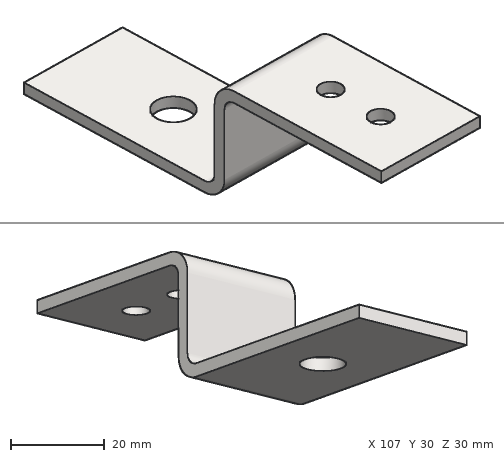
import cadquery as cq

length = 107.0
width = 30.0
height = 30.0

thickness = 3.0
inner_radius = 3.0
outer_radius = inner_radius + thickness
web_right = 60.0
web_left = web_right - thickness

large_hole_diameter = 10.0
large_hole_x = 30.0
small_hole_diameter = 6.0
small_hole_spacing = 15.0
small_hole_end_distance = 15.0


def bent_strip():
    """Z-shaped strip with sharp corners, then rounded at both bends."""
    strip = (
        cq.Workplane("XZ")
        .moveTo(0, 0)
        .lineTo(web_right, 0)
        .lineTo(web_right, height - thickness)
        .lineTo(length, height - thickness)
        .lineTo(length, height)
        .lineTo(web_left, height)
        .lineTo(web_left, thickness)
        .lineTo(0, thickness)
        .close()
        .extrude(width / 2, both=True)
    )
    outer_corners = [(web_right, 0), (web_left, height)]
    inner_corners = [(web_right, height - thickness), (web_left, thickness)]
    for corners, radius in ((outer_corners, outer_radius), (inner_corners, inner_radius)):
        for x, z in corners:
            strip = strip.edges(cq.selectors.NearestToPointSelector((x, 0, z))).fillet(radius)
    return strip


def vertical_hole(x, diameter):
    """Cutter on the centreline, tall enough to pass through either flange."""
    return cq.Workplane("XY").center(x, 0).circle(diameter / 2).extrude(height)


result = bent_strip().cut(vertical_hole(large_hole_x, large_hole_diameter))

last_small_hole_x = length - small_hole_end_distance
for small_hole_x in (last_small_hole_x - small_hole_spacing, last_small_hole_x):
    result = result.cut(vertical_hole(small_hole_x, small_hole_diameter))